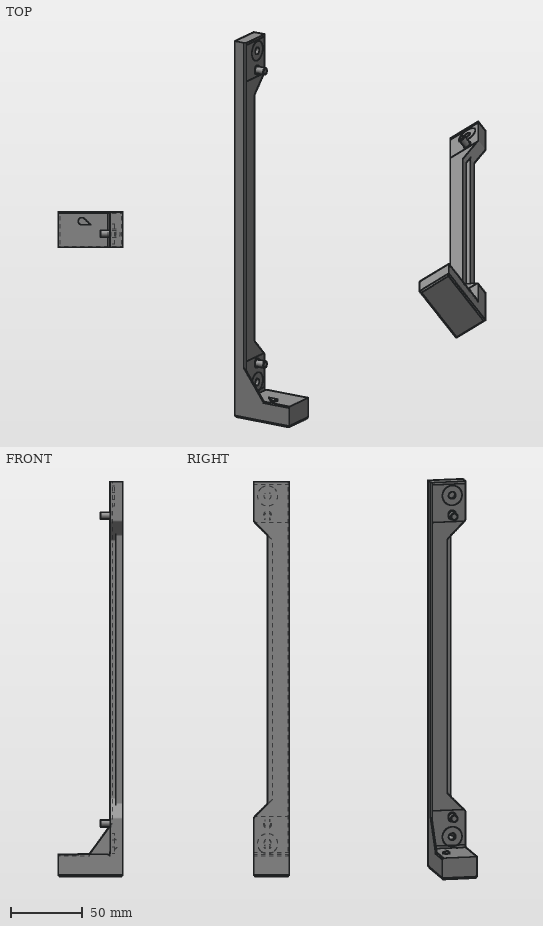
import cadquery as cq
import math

length_x = 45.0
width_y = 24.8
height_z = 274.6

foot_height = 15.4
foot_chamfer_width = 1.0
foot_back_chamfer = 0.9
foot_chamfer_height = 1.4

upright_thickness = 9.0
upright_face_x = length_x - upright_thickness
upright_centre_z = 144.0
back_chamfer_width = 1.0
back_chamfer_depth = 1.5
relief_width = 1.4
relief_depth = 0.8

front_layer_thickness = 4.0
front_layer_edge_y = 13.0
rear_layer_edge_y = 9.5
end_corner_offset_z = 103.0
neck_fillet = 2.0

gusset_thickness = 1.0
gusset_length = 14.5
gusset_height = 19.9

mount_y = 9.5
magnet_offset_z = 120.9
pin_offset_z = 107.0
magnet_diameter = 14.0
magnet_hole_diameter = 5.0
magnet_thickness = 3.0
pin_diameter = 5.0
pin_length = 6.6
pin_chamfer = 0.4
magnet_heights = [upright_centre_z - magnet_offset_z, upright_centre_z + magnet_offset_z]
pin_heights = [upright_centre_z - pin_offset_z, upright_centre_z + pin_offset_z]

recess_depth = 0.1
recess_face_x = upright_face_x + recess_depth
lower_recess_z = (17.0, 42.0)
upper_recess_z = (246.3, 272.9)

pin_slot_depth = 0.4
pin_slot_width = 5.4
pin_slot_height = 6.6

slant_bore_depth = 2.9

teardrop_radius = 2.5
teardrop_x = 16.5
teardrop_y = 18.3
teardrop_height = 0.6


def make_foot():
    foot = cq.Workplane("XY").box(length_x, width_y, foot_height, centered=False)
    foot = foot.faces("<Z").chamfer(foot_chamfer_height, foot_chamfer_width)
    return foot.faces(">Z").edges(">Y").chamfer(foot_back_chamfer)


def make_upright_layer(start_x, thickness, neck_edge_y):
    """Plate with two wide ends and a neck, joined by 45 degree shoulders."""
    lower_corner_z = upright_centre_z - end_corner_offset_z
    upper_corner_z = upright_centre_z + end_corner_offset_z
    joint_z = foot_height / 2
    outline = [
        (0, joint_z),
        (0, lower_corner_z),
        (neck_edge_y, lower_corner_z + neck_edge_y),
        (neck_edge_y, upper_corner_z - neck_edge_y),
        (0, upper_corner_z),
        (0, height_z),
        (width_y, height_z),
        (width_y, joint_z),
    ]
    plate = cq.Workplane("YZ", origin=(start_x, 0, 0)).polyline(outline).close().extrude(thickness)
    margin = 1.0
    shoulder_edges = cq.selectors.BoxSelector(
        (start_x - margin, -margin, lower_corner_z - margin),
        (start_x + thickness + margin, neck_edge_y + margin, upper_corner_z + margin),
    )
    return plate.edges("|X").edges(shoulder_edges).fillet(neck_fillet)


def make_upright():
    front = make_upright_layer(upright_face_x, front_layer_thickness, front_layer_edge_y)
    front = front.faces("<X").edges(">Y").chamfer(back_chamfer_width, back_chamfer_depth)
    rear_x = upright_face_x + front_layer_thickness
    rear = make_upright_layer(rear_x, upright_thickness - front_layer_thickness, rear_layer_edge_y)
    return front.union(rear)


def make_gusset():
    foot_end_x = upright_face_x - gusset_length
    slope = gusset_height / gusset_length
    inner_x = upright_face_x + back_chamfer_depth
    outline = [
        (foot_end_x, foot_height),
        (inner_x, foot_height + slope * (inner_x - foot_end_x)),
        (inner_x, foot_height - foot_back_chamfer),
        (foot_end_x, foot_height - foot_back_chamfer),
    ]
    gusset = cq.Workplane("XZ", origin=(0, width_y, 0)).polyline(outline).close()
    return gusset.extrude(gusset_thickness)


def make_corner_relief():
    """V-shaped groove in the foot along the face of the upright."""
    outline = [
        (upright_face_x - relief_width, foot_height),
        (upright_face_x, foot_height),
        (upright_face_x, foot_height - relief_depth),
    ]
    relief = cq.Workplane("XZ").polyline(outline).close()
    return relief.extrude(gusset_thickness - width_y)


def make_teardrop():
    """Round boss drawn out to a tip, one flank along X and the other at 45 degrees."""
    flank_angle = math.radians(45)
    tip_x = teardrop_x + teardrop_radius / math.tan(flank_angle / 2)
    bottom_y = teardrop_y - teardrop_radius
    flank = teardrop_radius * math.sin(flank_angle)
    drop = (
        cq.Workplane("XY", origin=(0, 0, foot_height))
        .moveTo(tip_x, bottom_y)
        .lineTo(teardrop_x + flank, teardrop_y + flank)
        .threePointArc((teardrop_x - teardrop_radius, teardrop_y), (teardrop_x, bottom_y))
        .close()
    )
    return drop.extrude(teardrop_height)


def cylinder_along_x(start_x, z, diameter, length):
    return cq.Workplane("YZ", origin=(start_x, mount_y, z)).circle(diameter / 2).extrude(length)


def make_pin(z):
    start_x = upright_face_x - pin_length
    root_depth = recess_depth + pin_slot_depth
    pin = cylinder_along_x(start_x, z, pin_diameter, pin_length + root_depth)
    return pin.faces("<X").chamfer(pin_chamfer)


def make_recess(z_range):
    bottom_z, top_z = z_range
    recess_width = width_y - back_chamfer_width
    recess = cq.Workplane("XY").box(recess_depth, recess_width, top_z - bottom_z, centered=False)
    return recess.translate((upright_face_x, 0, bottom_z))


def make_pin_slot(z):
    """Upright slot around the foot of a pin."""
    slot = cq.Workplane("YZ", origin=(recess_face_x, mount_y, z))
    return slot.slot2D(pin_slot_height, pin_slot_width, 90).extrude(pin_slot_depth)


def make_slanted_bore():
    """Flat-ended bore that runs down at 45 degrees from the floor of the lower magnet pocket."""
    start = (recess_face_x + magnet_thickness, mount_y, magnet_heights[0])
    plane = cq.Plane(origin=start, xDir=(0, 1, 0), normal=(1, 0, -1))
    reach_back = magnet_hole_diameter
    bore = cq.Workplane(plane).workplane(offset=-reach_back).circle(magnet_hole_diameter / 2)
    return bore.extrude(reach_back + slant_bore_depth)


def make_bracket():
    bracket = make_foot().union(make_upright())
    bracket = bracket.cut(make_corner_relief()).union(make_gusset()).union(make_teardrop())
    for z_range in [lower_recess_z, upper_recess_z]:
        bracket = bracket.cut(make_recess(z_range))
    for z in pin_heights:
        bracket = bracket.cut(make_pin_slot(z)).union(make_pin(z))
    behind_pocket = cq.Workplane("XY").box(length_x, width_y, height_z, centered=False)
    behind_pocket = behind_pocket.translate((recess_face_x + magnet_thickness, 0, 0))
    bracket = bracket.cut(make_slanted_bore().intersect(behind_pocket))
    for z in magnet_heights:
        bracket = bracket.cut(cylinder_along_x(recess_face_x, z, magnet_diameter, magnet_thickness))
    return bracket


def make_ring_magnet(z):
    magnet = cylinder_along_x(recess_face_x, z, magnet_diameter, magnet_thickness)
    return magnet.cut(cylinder_along_x(recess_face_x, z, magnet_hole_diameter, magnet_thickness))


bracket = make_bracket()
ring_magnets = [make_ring_magnet(z) for z in magnet_heights]

result = cq.Compound.makeCompound([bracket.val(), *[magnet.val() for magnet in ring_magnets]])